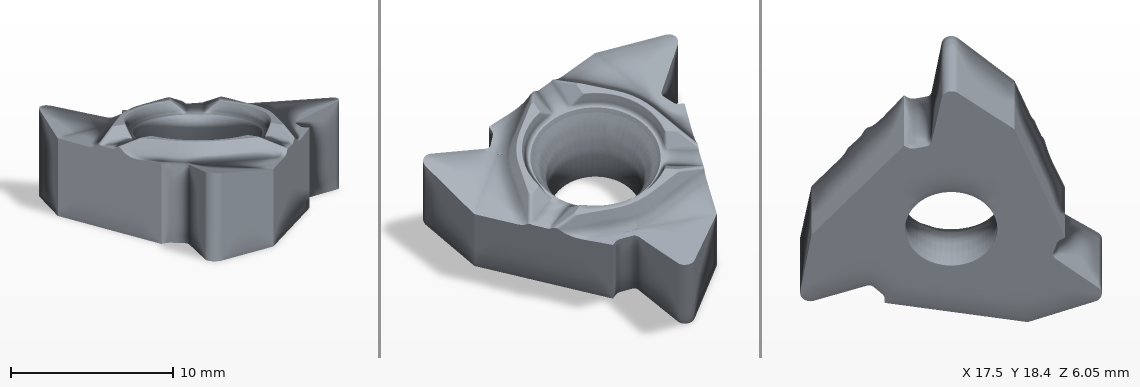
import cadquery as cq
import math

side_offset = 6.34
floor_height = 4.97
boss_height = 6.05
step = 120.0
reach = 14.74

tooth_root = 5.85
tooth_end = 11.05
tooth_slope = 9.5
crease_radius = 0.66
tip_x = -3.52
tip_y = 9.38
tip_radius = 0.63
notch_root = (-1.07, 6.48)
notch_end = (0.15, 6.63)
notch_corner_x = 0.5
notch_root_radius = 0.37
notch_end_radius = 0.55

boss_top_radius = 4.88
wall_lean = 33.0
skirt_radius = 0.74
floor_wall_turn = 2.0
tooth_blend_span = 13.0
rim_round = 0.05
crest_round = 0.22

slot_angle = 165.0
slot_floor_width = 1.07
slot_offset = 0.11
slot_floor_height = 5.25
slot_wall_run = 0.98
recess_top_radius = 4.53
recess_floor_radius = 4.31
recess_corner_round = 0.15
floor_round = 0.22

bore_radius = 2.845
seat_radius = 3.87
seat_depth = 2.76
lip_radius = 4.02
lip_depth = 0.28

tolerance = 0.02

tooth_crease = tooth_root + crease_radius * math.tan(math.radians(tooth_slope / 2))
corner_span = step + floor_wall_turn - 90


def spin(shape, angle):
    return shape.rotate((0, 0, 0), (0, 0, 1), angle)


def spin_point(point, angle):
    turn = math.radians(angle)
    x, y = point
    return (x * math.cos(turn) - y * math.sin(turn), x * math.sin(turn) + y * math.cos(turn))


def outline_prism():
    """Three-toothed outline carried straight up to the boss top."""
    cos30 = math.cos(math.radians(30))
    sin30 = math.sin(math.radians(30))
    tip_left = (tip_x - tip_radius * cos30, tip_y + tip_radius * sin30)
    tip_top = (tip_x, tip_y + tip_radius)
    tip_right = (tip_x + tip_radius * cos30, tip_y + tip_radius * sin30)
    notch_corner = (notch_corner_x, (side_offset - notch_corner_x * sin30) / cos30)
    root = (-side_offset, tooth_root)

    path = cq.Workplane("XY").moveTo(*root)
    for k in range(3):
        angle = -k * step
        if k > 0:
            path = path.lineTo(*spin_point(root, angle))
        path = path.lineTo(*spin_point(tip_left, angle))
        path = path.threePointArc(spin_point(tip_top, angle), spin_point(tip_right, angle))
        for point in (notch_root, notch_end, notch_corner):
            path = path.lineTo(*spin_point(point, angle))
    prism = path.close().extrude(boss_height)

    for k in range(3):
        for point, radius in ((notch_root, notch_root_radius), (notch_end, notch_end_radius)):
            x, y = spin_point(point, -k * step)
            low = (x - tolerance, y - tolerance, 0)
            high = (x + tolerance, y + tolerance, boss_height)
            prism = prism.edges(cq.selectors.BoxSelector(low, high)).fillet(radius)
    return prism


def tooth_ramp():
    """Block under the sloped top face of the tooth that points to +Y."""
    slope = math.radians(tooth_slope)
    crease_end_y = tooth_root + crease_radius * math.sin(slope)
    crease_end_z = floor_height + crease_radius * (1 - math.cos(slope))
    end_z = crease_end_z + (tooth_end - crease_end_y) * math.tan(slope)
    return (
        cq.Workplane("YZ")
        .moveTo(tooth_root, 0)
        .lineTo(tooth_end, 0)
        .lineTo(tooth_end, end_z)
        .lineTo(crease_end_y, crease_end_z)
        .radiusArc((tooth_root, floor_height), crease_radius)
        .close()
        .extrude(reach, both=True)
    )


def boss_profile(plane, foot_slope):
    """Half section of the boss; the ground at its foot rises outward at foot_slope degrees."""
    lean = math.radians(wall_lean)
    slope = math.radians(foot_slope)
    drop = boss_height - floor_height + (tooth_crease - boss_top_radius) * math.tan(slope)
    drop /= 1 + math.tan(lean) * math.tan(slope)
    cross_r = boss_top_radius + drop * math.tan(lean)
    cross_z = boss_height - drop
    tangent = skirt_radius * math.tan((math.pi / 2 - lean + slope) / 2)
    wall_end = (cross_r - tangent * math.sin(lean), cross_z + tangent * math.cos(lean))
    foot = (cross_r + tangent * math.cos(slope), cross_z + tangent * math.sin(slope))
    return (
        cq.Workplane(plane)
        .lineTo(0, boss_height)
        .lineTo(boss_top_radius, boss_height)
        .lineTo(*wall_end)
        .tangentArcPoint(foot, relative=False)
        .lineTo(foot[0], 0)
        .close()
    )


def boss_third():
    """Sharp corner between two straight walls, then the round corner that follows it."""
    floor_wall = spin(boss_profile("XZ", 0).extrude(-reach), floor_wall_turn)
    tooth_wall = boss_profile("YZ", tooth_slope).extrude(reach)
    sharp_corner = floor_wall.intersect(tooth_wall)
    axis = ((0, 0), (0, 1))
    tooth_side = boss_profile("YZ", tooth_slope).revolve(tooth_blend_span, *axis)
    floor_side = boss_profile("YZ", 0).revolve(corner_span - tooth_blend_span, *axis)
    return sharp_corner, tooth_side, spin(floor_side, tooth_blend_span)


def slot_cutter():
    """Flat-floored slot with sloped walls, running out along +X."""
    half_floor = slot_floor_width / 2
    half_top = half_floor + slot_wall_run
    return (
        cq.Workplane("YZ", origin=(0, slot_offset, 0))
        .moveTo(-half_floor, slot_floor_height)
        .lineTo(half_floor, slot_floor_height)
        .lineTo(half_top, boss_height)
        .lineTo(-half_top, boss_height)
        .close()
        .extrude(reach)
    )


def bore_cutter():
    """Recess, bevelled lip, bulging screw seat and through bore, turned as one."""
    seat_top = slot_floor_height - lip_depth
    seat_bottom = seat_top - seat_depth
    seat_run = seat_radius - bore_radius
    seat_arc_radius = (seat_run**2 + seat_depth**2) / (2 * seat_run)
    return (
        cq.Workplane("XZ")
        .lineTo(bore_radius, 0)
        .lineTo(bore_radius, seat_bottom)
        .radiusArc((seat_radius, seat_top), seat_arc_radius)
        .lineTo(lip_radius, slot_floor_height)
        .lineTo(recess_floor_radius, slot_floor_height)
        .lineTo(recess_top_radius, boss_height)
        .lineTo(0, boss_height)
        .close()
        .revolve(360, (0, 0), (0, 1))
    )


def middle_radius(edge):
    middle = edge.positionAt(0.5)
    return math.hypot(middle.x, middle.y)


def sloped_top_edges(boss, inner, outer):
    """Edges running down from the boss top, with their middle between two radii."""
    found = []
    for edge in boss.edges().vals():
        box = edge.BoundingBox()
        runs_down = box.zmax > boss_height - tolerance and box.zlen > tolerance
        if runs_down and inner < middle_radius(edge) < outer:
            found.append(edge)
    return boss.newObject(found)


def floor_edges(boss):
    """Edges where the slot and recess floors meet a wall; the ends of the slots are left out."""
    found = []
    for edge in boss.edges().vals():
        box = edge.BoundingBox()
        is_level = box.zlen < tolerance and abs(box.zmin - slot_floor_height) < tolerance
        if is_level and lip_radius + tolerance < middle_radius(edge) < side_offset:
            found.append(edge)
    return boss.newObject(found)


def finished_boss():
    boss = cq.Workplane("XY").circle(recess_top_radius).extrude(boss_height)
    for k in range(3):
        for piece in boss_third():
            boss = boss.union(spin(piece, k * step))
    for k in range(3):
        boss = boss.cut(spin(slot_cutter(), slot_angle + k * step))
    boss = boss.cut(bore_cutter())

    recess_limit = (recess_top_radius + boss_top_radius) / 2
    boss_corner_limit = boss_top_radius + skirt_radius / 2
    boss = sloped_top_edges(boss, bore_radius, recess_limit).fillet(recess_corner_round)
    boss = floor_edges(boss).fillet(floor_round)
    boss = sloped_top_edges(boss, boss_corner_limit, reach).fillet(crest_round)
    return boss.faces(">Z").edges().fillet(rim_round)


outline = outline_prism()
base = cq.Workplane("XY").circle(reach).extrude(floor_height).intersect(outline)
for k in range(3):
    base = base.union(spin(tooth_ramp(), k * step).intersect(outline))
base = base.cut(bore_cutter())
result = base.union(finished_boss().intersect(outline))